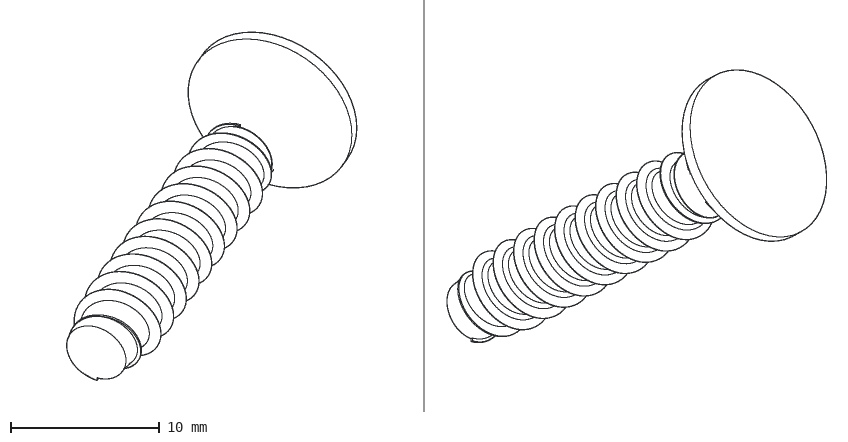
import cadquery as cq
import math

LENGTH = 30.0

HEAD_RADIUS = 6.0
RIM_HEIGHT = 0.85
NECK_RADIUS = 2.4
NECK_FILLET = 2.2
NECK_END = 5.97

STEP_RADIUS = 2.35
CORE_RADIUS = 2.12
CORE_START = 6.89

DISH_RADIUS = 2.05
DISH_DEPTH = 0.2

PITCH = 2.14
CREST_RADIUS = 3.03
CREST_HALF_WIDTH = 0.02
FADED_CREST_HALF_WIDTH = 0.08
KNEE_RADIUS = 2.42
KNEE_OFFSET = 0.25
HEAD_FLANK_FOOT = 0.53
TAPER_RADIUS = 2.3
TIP_FLANK_FOOT = 0.28
TAPER_END = 1.49

SUNK_RADIUS = 2.1
BURIED_RADIUS = 1.8

THREAD_START = 5.87
THREAD_TURNS = 11.5
EASE_TURNS = 0.5

RUN_IN_HEIGHT = 0.25
RUN_IN_END = 1.5
RUN_OUT_START = 10.0
RUN_OUT_END = 11.0
RUN_OUT_HEIGHT = 0.03

SPANS_PER_TURN = 2
STEPS_PER_SPAN = 8


def revolve_about_axis(outline):
    return outline.close().revolve(360, (0, 0, 0), (0, 1, 0))


def make_body():
    """Head, neck and core turned from one half outline."""
    cos45 = math.cos(math.pi / 4)
    fillet_top_radius = NECK_RADIUS + NECK_FILLET * (1 - cos45)
    fillet_top_depth = RIM_HEIGHT + HEAD_RADIUS - fillet_top_radius
    fillet_end_depth = fillet_top_depth + NECK_FILLET * cos45
    outline = (
        cq.Workplane("XY")
        .lineTo(HEAD_RADIUS, 0)
        .lineTo(HEAD_RADIUS, -RIM_HEIGHT)
        .lineTo(fillet_top_radius, -fillet_top_depth)
        .radiusArc((NECK_RADIUS, -fillet_end_depth), -NECK_FILLET)
        .lineTo(NECK_RADIUS, -NECK_END)
        .lineTo(STEP_RADIUS, -NECK_END)
        .lineTo(CORE_RADIUS, -CORE_START)
        .lineTo(CORE_RADIUS, -LENGTH)
        .lineTo(0, -LENGTH)
    )
    return revolve_about_axis(outline)


def interpolate(start, end, fraction):
    return start + (end - start) * fraction


def thread_height(turn):
    """Fraction of the full thread height: it grows at the neck and fades out at the tip."""
    if turn < RUN_IN_END:
        return interpolate(RUN_IN_HEIGHT, 1, turn / RUN_IN_END)
    if turn < RUN_OUT_START:
        return 1
    fraction = (turn - RUN_OUT_START) / (RUN_OUT_END - RUN_OUT_START)
    return interpolate(1, RUN_OUT_HEIGHT, min(fraction, 1))


def thread_section(turn):
    """Corners of the thread section at one place on the right-handed path (+Z, -X, -Z, +X)."""
    height = thread_height(turn)
    crest_radius = interpolate(TAPER_RADIUS, CREST_RADIUS, height)
    knee_radius = interpolate(TAPER_RADIUS, KNEE_RADIUS, height)
    crest_half_width = interpolate(FADED_CREST_HALF_WIDTH, CREST_HALF_WIDTH, height)
    head_foot = crest_half_width + (HEAD_FLANK_FOOT - CREST_HALF_WIDTH) * height
    knee_offset = crest_half_width + (KNEE_OFFSET - CREST_HALF_WIDTH) * height
    tip_foot = crest_half_width + (TIP_FLANK_FOOT - CREST_HALF_WIDTH) * height

    pitch_depth = THREAD_START + PITCH * (turn - EASE_TURNS / 2)
    ridge_depth = pitch_depth + PITCH * max(EASE_TURNS - turn, 0) ** 2 / (2 * EASE_TURNS)
    corners = [
        (BURIED_RADIUS, ridge_depth - head_foot),
        (SUNK_RADIUS, ridge_depth - head_foot),
        (knee_radius, ridge_depth - knee_offset),
        (crest_radius, ridge_depth - crest_half_width),
        (crest_radius, ridge_depth + crest_half_width),
        (TAPER_RADIUS, ridge_depth + tip_foot),
        (SUNK_RADIUS, pitch_depth + TAPER_END),
        (BURIED_RADIUS, pitch_depth + TAPER_END),
    ]
    angle = 2 * math.pi * turn
    return [cq.Vector(-r * math.sin(angle), -depth, r * math.cos(angle)) for r, depth in corners]


def make_thread():
    """Solid bounded by ruled faces between the spirals of the section corners, and two end caps."""
    faces = []
    for span in range(round(THREAD_TURNS * SPANS_PER_TURN)):
        steps = [span + i / STEPS_PER_SPAN for i in range(STEPS_PER_SPAN + 1)]
        sections = [thread_section(step / SPANS_PER_TURN) for step in steps]
        spirals = [cq.Edge.makeSpline(list(points)) for points in zip(*sections)]
        for i, spiral in enumerate(spirals):
            faces.append(cq.Face.makeRuledSurface(spirals[i - 1], spiral))
    for turn in (0, THREAD_TURNS):
        faces.append(cq.Face.makeFromWires(cq.Wire.makePolygon(thread_section(turn), close=True)))
    thread = cq.Solid.makeSolid(cq.Shell.makeShell(faces))
    return cq.Workplane("XY").newObject([thread.fix()])


def make_trim_cylinder():
    """Cylinder around the screw that ends at the tip face."""
    return cq.Workplane("XZ").circle(HEAD_RADIUS).extrude(LENGTH)


def make_dish():
    outline = (
        cq.Workplane("XY")
        .moveTo(0, -LENGTH)
        .lineTo(DISH_RADIUS, -LENGTH)
        .lineTo(0, DISH_DEPTH - LENGTH)
    )
    return revolve_about_axis(outline)


thread = make_thread().intersect(make_trim_cylinder())
result = make_body().union(thread).cut(make_dish())